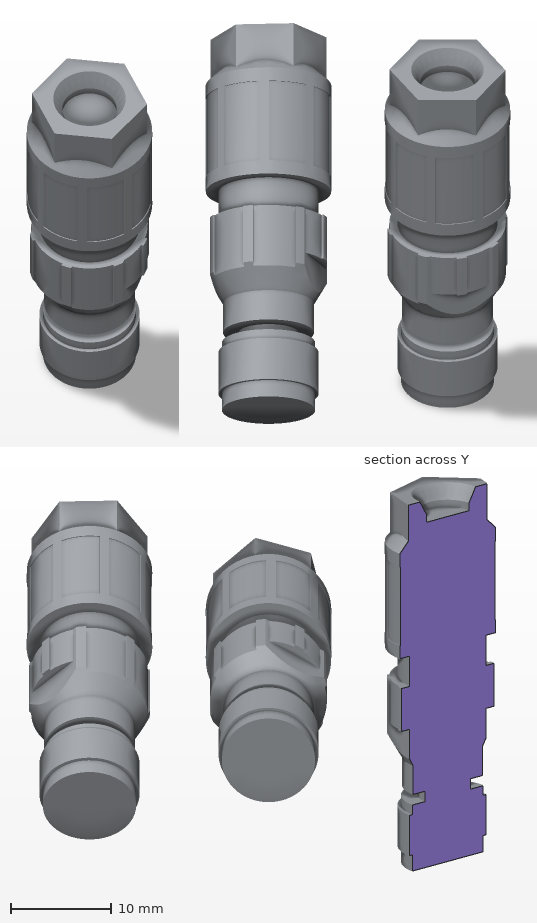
import cadquery as cq
import math

tip_top = 1.7
plug_top = 6.0
shoulder_top = 7.0
groove_top = 8.05
collar_top = 11.12
grip_pad_bottom = 15.05
grip_top = 19.6
sleeve_bottom = 22.75
sleeve_shoulder = 33.83
total_height = 38.75

body_radius = 5.0
tip_radius = 4.65
groove_radius = 3.0
collar_radius = 4.55
grip_radius = 6.05
sleeve_diameter = 12.5
sleeve_radius = sleeve_diameter / 2

grip_cone_height = 2.6
grip_panel_radius = 5.8
grip_rib_half_angle = 5.0
grip_panel_end_angle = 46.6
quarter_turn = 90.0

sleeve_rib_count = 8
sleeve_rib_angle = 15.8
sleeve_rib_half_angle = 4.4
sleeve_panel_radius = 6.15
sleeve_band_height = 1.4

hex_across_flats = 2 * body_radius
hex_turn = 15.5
entry_rim_radius = 3.6
entry_radius = 2.7
entry_taper_depth = 1.55
entry_depth = 2.32


def cylinder(radius, bottom, top):
    return cq.Workplane("XY").workplane(offset=bottom).circle(radius).extrude(top - bottom)


def ring_sector(inner_radius, outer_radius, start_angle, end_angle, bottom, top):
    """Part of a ring between two angles, measured from +X, and two heights."""

    def point(radius, angle):
        return (radius * math.cos(math.radians(angle)), radius * math.sin(math.radians(angle)))

    middle_angle = (start_angle + end_angle) / 2
    return (
        cq.Workplane("XY")
        .workplane(offset=bottom)
        .moveTo(*point(inner_radius, start_angle))
        .lineTo(*point(outer_radius, start_angle))
        .threePointArc(point(outer_radius, middle_angle), point(outer_radius, end_angle))
        .lineTo(*point(inner_radius, end_angle))
        .threePointArc(point(inner_radius, middle_angle), point(inner_radius, start_angle))
        .close()
        .extrude(top - bottom)
    )


def make_turned_body():
    """Half profile revolved about Z, ending in a 45 degree cone under the nut."""
    sleeve_cone_top = sleeve_shoulder + sleeve_radius - body_radius
    profile = [
        (0, 0),
        (tip_radius, 0),
        (tip_radius, tip_top),
        (body_radius, tip_top),
        (body_radius, plug_top),
        (tip_radius, plug_top),
        (tip_radius, shoulder_top),
        (groove_radius, shoulder_top),
        (groove_radius, groove_top),
        (collar_radius, groove_top),
        (collar_radius, collar_top),
        (grip_radius, collar_top + grip_cone_height),
        (grip_radius, grip_top),
        (body_radius, grip_top),
        (body_radius, sleeve_bottom),
        (sleeve_radius, sleeve_bottom),
        (sleeve_radius, sleeve_shoulder),
        (body_radius, sleeve_cone_top),
        (0, sleeve_cone_top),
    ]
    return cq.Workplane("XZ").polyline(profile).close().revolve(360, (0, 0), (0, 1))


def shape_grip(body):
    """Cut the grip panels and flats, then add a ribbed pad on each flat."""
    for rib_angle in (quarter_turn, -quarter_turn):
        for side in (-1, 1):
            start_angle = rib_angle + side * grip_rib_half_angle
            end_angle = rib_angle + side * grip_panel_end_angle
            body = body.cut(
                ring_sector(grip_panel_radius, sleeve_radius, start_angle, end_angle, collar_top, grip_top)
            )

    grip_height = grip_top - collar_top
    flat_depth = sleeve_radius - body_radius
    for side in (-1, 1):
        flat_cutter = cq.Workplane("XY").box(
            flat_depth, sleeve_diameter, grip_height, centered=(True, True, False)
        )
        flat_center = side * (body_radius + flat_depth / 2)
        body = body.cut(flat_cutter.translate((flat_center, 0, collar_top)))

    body = body.union(cylinder(grip_panel_radius, grip_pad_bottom, grip_top))
    for rib_angle in (0, 2 * quarter_turn):
        start_angle = rib_angle - grip_rib_half_angle
        end_angle = rib_angle + grip_rib_half_angle
        body = body.union(
            ring_sector(body_radius, grip_radius, start_angle, end_angle, grip_pad_bottom, grip_top)
        )
    return body


def cut_sleeve_panels(body):
    """Recess the sleeve between its ribs, leaving a plain band at each end."""
    bottom = sleeve_bottom + sleeve_band_height
    top = sleeve_shoulder - sleeve_band_height
    pitch = 360 / sleeve_rib_count
    for index in range(sleeve_rib_count):
        rib_angle = sleeve_rib_angle + index * pitch
        start_angle = rib_angle + sleeve_rib_half_angle
        end_angle = rib_angle + pitch - sleeve_rib_half_angle
        body = body.cut(
            ring_sector(sleeve_panel_radius, sleeve_diameter, start_angle, end_angle, bottom, top)
        )
    return body


def make_hex_nut():
    corner_diameter = hex_across_flats / math.cos(math.pi / 6)
    return (
        cq.Workplane("XY")
        .workplane(offset=sleeve_shoulder)
        .polygon(6, corner_diameter)
        .extrude(total_height - sleeve_shoulder)
        .rotate((0, 0, 0), (0, 0, 1), hex_turn)
    )


def make_cable_entry():
    """Tapered mouth leading into a short blind bore."""
    profile = [
        (0, total_height),
        (entry_rim_radius, total_height),
        (entry_radius, total_height - entry_taper_depth),
        (entry_radius, total_height - entry_depth),
        (0, total_height - entry_depth),
    ]
    return cq.Workplane("XZ").polyline(profile).close().revolve(360, (0, 0), (0, 1))


connector = make_turned_body()
connector = shape_grip(connector)
connector = cut_sleeve_panels(connector)
connector = connector.union(make_hex_nut())
result = connector.cut(make_cable_entry())